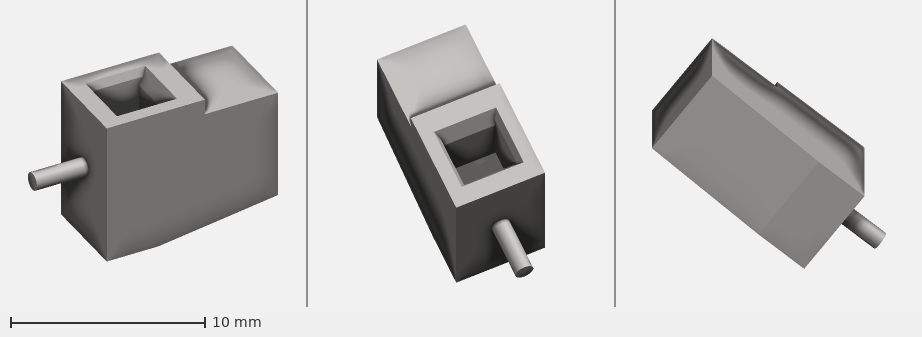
import cadquery as cq

width = 5.0
body_length = 10.0
height = 8.2

deck_length = 4.28
deck_drop = 0.9

flat_base_length = 3.0
slope_rise = 1.0

pin_diameter = 1.0
pin_length = 13 - body_length
pin_height = 4.41

mouth_size = 3.5
mouth_front = 1.0
funnel_side_inset = 0.25
funnel_end_inset = 0.5
funnel_depth = 0.88
well_depth = 3.0

side_slope_depth = funnel_depth * funnel_side_inset / funnel_end_inset
well_width = mouth_size - 2 * funnel_side_inset
well_length = mouth_size - 2 * funnel_end_inset
mouth_centre = mouth_front + mouth_size / 2


def make_housing():
    """Side profile in the YZ plane, extruded across the width."""
    step = body_length - deck_length
    profile = [
        (0, 0),
        (flat_base_length, 0),
        (body_length, slope_rise),
        (body_length, height - deck_drop),
        (step, height - deck_drop),
        (step, height),
        (0, height),
    ]
    return cq.Workplane("YZ").polyline(profile).close().extrude(width / 2, both=True)


def make_pin():
    """Round pin projecting forward (-Y) from the front face."""
    return cq.Workplane("XZ").center(0, pin_height).circle(pin_diameter / 2).extrude(pin_length)


def make_taper(top_depth, top_size, bottom_depth, bottom_size):
    """Tapered block between two rectangles, with depths measured down from the top face."""
    return (
        cq.Workplane("XY", origin=(0, mouth_centre, height - top_depth))
        .rect(*top_size)
        .workplane(offset=top_depth - bottom_depth)
        .rect(*bottom_size)
        .loft(ruled=True)
    )


def make_pocket():
    """Funnel sloped on four sides, then on its two ends only, then a straight well."""
    mouth = (mouth_size, mouth_size)
    throat = (well_width, mouth_size - 2 * funnel_side_inset)
    well = (well_width, well_length)
    upper_funnel = make_taper(0, mouth, side_slope_depth, throat)
    lower_funnel = make_taper(side_slope_depth, throat, funnel_depth, well)
    shaft = (
        cq.Workplane("XY", origin=(0, mouth_centre, height - funnel_depth))
        .rect(*well)
        .extrude(-well_depth)
    )
    return upper_funnel.union(lower_funnel).union(shaft).clean()


result = make_housing().union(make_pin()).cut(make_pocket())